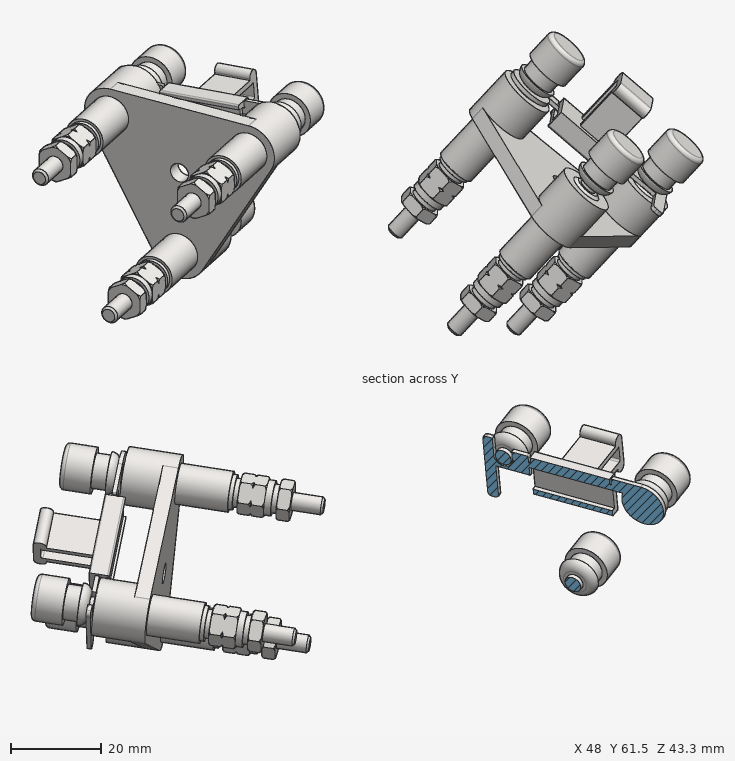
import cadquery as cq
import math

pitch = 34.95
boss_radius = 6.5
boss_length = 12.0
plate_thickness = 3.5
centre_hole_radius = 2.3

tip_y = -32.85
tip_chamfer = 0.5
pin_radius = 2.0
front_nut_start_y = -25.7
nut_height = 3.0
nut_flats = 8.0
nut_corner_chamfer = 0.35
neck_radius = 3.25
washer_radius = 4.0
washer_front_y = -21.45
washer_back_y = -19.9
collar_front_y = -12.8
sleeve_radius = 4.6
sleeve_front_y = -11.9

link_thickness = 1.0
link_y = 12.55
gap_radius = 2.8
seat_radius = 3.7
dome_rim_y = 15.6
dome_radius = 4.8
dome_mid_radius = 4.2
dome_mid_y = 14.2
cap_neck_radius = 4.0
cap_front_y = 18.95
cap_back_y = 26.0
cap_radius = 5.3
cap_fillet = 1.05

link_tilt = 4.7
arm_left_u = -4.85
arm_top_v = 4.9
arm_corner = 1.05
slot_half_width = 2.3
tail_right_u = -2.0
tail_bottom_v = -12.25
tail_corner = 1.05
head_radius = 5.3
head_bottom_v = -3.1
bar_bottom_v = -0.9
bar_top_v = 0.6
shoulder_left_u = 6.5
shoulder_right_u = 27.2
shoulder_corner = 0.3

clip_length = 20.0
clip_centre_u = 16.9
clip_front_y = 10.45
clip_back_y = 15.0
clip_top_v = 2.15
clip_bottom_v = -8.3
clip_wall = 1.55
clip_edge_radius = 0.35
clip_back_edge_radius = 0.25
clip_lip = 1.1
clip_recess_depth = 0.55

handle_width = 9.0
handle_end_y = 28.65
grip_depth = 3.0
grip_top_v = 1.95
grip_bottom_v = -8.05
window_corner = 0.5
end_wall = 1.65
upper_plate_v = (-1.2, 0.05)
lower_plate_v = (-6.5, -5.1)

triangle_height = pitch * math.sqrt(3) / 2
top_z = triangle_height / 3
bottom_z = top_z - triangle_height
left_stud = (-pitch / 2, top_z)
right_stud = (pitch / 2, top_z)
bottom_stud = (0, bottom_z)
stud_places = [left_stud, right_stud, bottom_stud]
link_back_y = link_y + link_thickness
head_u = pitch * math.cos(math.radians(link_tilt))
head_v = -pitch * math.sin(math.radians(link_tilt))
shoulder_top_v = head_v + head_radius


def slab(y_front, y_back):
    """Return an XZ sketch plane at y_front and the signed depth that reaches y_back."""
    return cq.Workplane("XZ", origin=(0, y_front, 0)), y_front - y_back


def block(u_range, y_range, v_range):
    """Box given by its limits along X, Y and Z."""
    size = [high - low for low, high in (u_range, y_range, v_range)]
    corner = (u_range[0], y_range[0], v_range[0])
    return cq.Workplane("XY").box(*size, centered=False).translate(corner)


def carrier_plate():
    """Plate with sides tangent to the bosses; the bosses themselves round off its corners."""
    plane, depth = slab(0, plate_thickness)
    side_normal_angles = (210, 90, 330)
    tangent_points = []
    for (stud_x, stud_z), first_angle in zip(stud_places, side_normal_angles):
        for angle in (first_angle, first_angle - 360 / len(stud_places)):
            direction = math.radians(angle)
            tangent_x = stud_x + boss_radius * math.cos(direction)
            tangent_z = stud_z + boss_radius * math.sin(direction)
            tangent_points.append((tangent_x, tangent_z))
    core = plane.polyline(tangent_points).close().extrude(depth)
    return core.cut(plane.circle(centre_hole_radius).extrude(depth))


def hex_nut(y_front):
    """Hexagonal nut with corners at +Z and -Z and its corner tips chamfered."""
    corner_radius = nut_flats / math.sqrt(3)
    plane, depth = slab(y_front, y_front + nut_height)
    hexagon = plane.polygon(6, 2 * corner_radius).extrude(depth)
    half_side_angle = 360 / 6 / 2
    hexagon = hexagon.rotate((0, 0, 0), (0, 1, 0), half_side_angle)
    envelope = plane.circle(corner_radius).extrude(depth).edges().chamfer(nut_corner_chamfer)
    return hexagon.intersect(envelope)


def stud():
    """Boss, sleeve, threaded pin with nuts, clamping dome and cap, turned about the Y axis."""
    turned = (
        cq.Workplane("XY")
        .moveTo(0, tip_y)
        .lineTo(pin_radius - tip_chamfer, tip_y)
        .lineTo(pin_radius, tip_y + tip_chamfer)
        .lineTo(pin_radius, front_nut_start_y)
        .lineTo(neck_radius, front_nut_start_y)
        .lineTo(neck_radius, washer_front_y)
        .lineTo(washer_radius, washer_front_y)
        .lineTo(washer_radius, washer_back_y)
        .lineTo(neck_radius, washer_back_y)
        .lineTo(neck_radius, collar_front_y)
        .lineTo(washer_radius, collar_front_y)
        .lineTo(washer_radius, sleeve_front_y)
        .lineTo(sleeve_radius, sleeve_front_y)
        .lineTo(sleeve_radius, 0)
        .lineTo(boss_radius, 0)
        .lineTo(boss_radius, boss_length)
        .lineTo(seat_radius, boss_length)
        .lineTo(gap_radius, link_y)
        .lineTo(pin_radius, link_y)
        .lineTo(pin_radius, link_back_y)
        .lineTo(gap_radius, link_back_y)
        .threePointArc((dome_mid_radius, dome_mid_y), (dome_radius, dome_rim_y))
        .lineTo(cap_neck_radius, dome_rim_y)
        .lineTo(cap_neck_radius, cap_front_y)
        .lineTo(cap_radius, cap_front_y)
        .lineTo(cap_radius, cap_back_y - cap_fillet)
        .radiusArc((cap_radius - cap_fillet, cap_back_y), -cap_fillet)
        .lineTo(0, cap_back_y)
        .close()
        .revolve(360, (0, 0, 0), (0, 1, 0))
    )
    nut_starts = [front_nut_start_y, washer_back_y, washer_back_y + nut_height]
    for y_front in nut_starts:
        turned = turned.union(hex_nut(y_front))
    return turned


def link():
    """Link: slotted arm with a tail at the left stud, narrow bar, round head on the right stud."""
    y_range = (link_y, link_back_y)
    plane, depth = slab(*y_range)
    slot = plane.circle(slot_half_width).extrude(depth)
    slot = slot.union(block((-slot_half_width, slot_half_width), y_range, (0, arm_top_v)))

    arm = block((arm_left_u, 0), y_range, (head_bottom_v, arm_top_v))
    arm = arm.edges("|Y and >Z and <X").fillet(arm_corner)
    tail = block((arm_left_u, tail_right_u), y_range, (tail_bottom_v, 0))
    tail = tail.edges("|Y and <Z").fillet(tail_corner)
    left_shoulder = block((0, shoulder_left_u), y_range, (head_bottom_v, shoulder_top_v))
    left_shoulder = left_shoulder.edges("|Y and >Z and >X").fillet(shoulder_corner)
    bar = block((0, head_u), y_range, (bar_bottom_v, bar_top_v))

    right_shoulder = block((shoulder_right_u, head_u), y_range, (bar_bottom_v, shoulder_top_v))
    right_shoulder = right_shoulder.edges("|Y and >Z and <X").fillet(shoulder_corner)
    head = plane.center(head_u, head_v).circle(head_radius).extrude(depth).union(right_shoulder)
    return arm.union(tail).union(left_shoulder).union(bar).cut(slot).union(head)


def clip():
    """Rectangular tube around the bar, open at both ends, with a recess between two front lips."""
    start_u = clip_centre_u - clip_length / 2
    u_range = (start_u, start_u + clip_length)
    body = block(u_range, (clip_front_y, clip_back_y), (clip_bottom_v, clip_top_v))
    body = body.edges("|X and <Y").fillet(clip_edge_radius)
    body = body.edges("|X and >Y and >Z").fillet(clip_back_edge_radius)
    passage = block(
        u_range,
        (clip_front_y + clip_wall, link_back_y),
        (clip_bottom_v + clip_wall, clip_top_v - clip_wall),
    )
    recess = block(
        u_range,
        (clip_front_y, clip_front_y + clip_recess_depth),
        (clip_bottom_v + clip_lip, clip_top_v - clip_lip),
    )
    return body.cut(passage).cut(recess)


def handle():
    """Two plates joined by an upright grip bar with full-round ends."""
    u_range = (clip_centre_u - handle_width / 2, clip_centre_u + handle_width / 2)
    inner_y_range = (clip_back_y, handle_end_y - end_wall)
    grip_centre = (handle_end_y - grip_depth / 2, (grip_top_v + grip_bottom_v) / 2)
    grip = (
        cq.Workplane("YZ", origin=(u_range[0], 0, 0))
        .center(*grip_centre)
        .slot2D(grip_top_v - grip_bottom_v, grip_depth, 90)
        .extrude(handle_width)
    )
    plates = block(u_range, inner_y_range, (lower_plate_v[0], upper_plate_v[1]))
    window = block(u_range, inner_y_range, (lower_plate_v[1], upper_plate_v[0]))
    window = window.edges("|X and >Y and <Z").fillet(window_corner)
    return grip.union(plates).cut(window)


link_assembly = link().union(clip()).union(handle())
link_assembly = link_assembly.rotate((0, 0, 0), (0, 1, 0), -link_tilt)
link_assembly = link_assembly.translate((left_stud[0], 0, left_stud[1]))

result = carrier_plate()
for stud_x, stud_z in stud_places:
    result = result.union(stud().translate((stud_x, 0, stud_z)))
result = result.union(link_assembly)